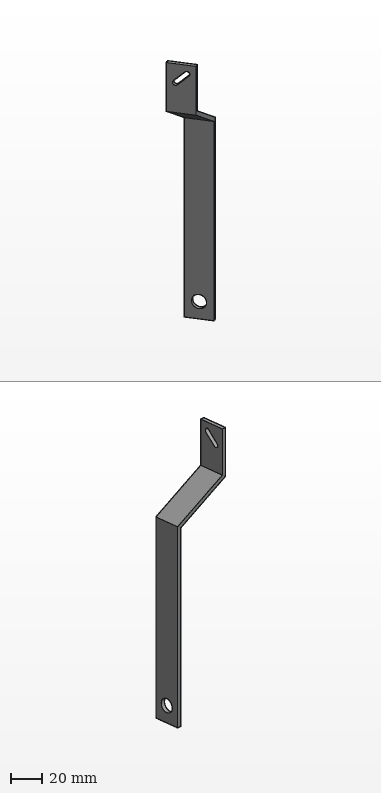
import cadquery as cq
import math

width = 20.0
depth = 43.0
height = 200.0
thickness = 3.0

slope_angle = 30.0
front_bend_z = 165.2

hole_diameter = 10.0
hole_z = 12.5

slot_length = 14.2
slot_width = 3.5
slot_angle = 43.0
slot_z = 190.0

slope = math.tan(math.radians(slope_angle))
ramp_rise = thickness / math.cos(math.radians(slope_angle))
corner_shift = ramp_rise - thickness * slope

front_inner_z = front_bend_z + corner_shift
back_inner_z = front_bend_z - (depth - thickness) * slope
back_outer_z = back_inner_z + corner_shift


def bent_strip():
    """Strip of constant thickness with two opposite sharp bends."""
    profile = [
        (depth, 0),
        (depth, back_outer_z),
        (thickness, front_inner_z),
        (thickness, height),
        (0, height),
        (0, front_bend_z),
        (depth - thickness, back_inner_z),
        (depth - thickness, 0),
    ]
    return cq.Workplane("YZ").polyline(profile).close().extrude(width / 2, both=True)


def hole_cutter():
    """Round hole through the long leg."""
    return cq.Workplane("XZ").center(0, hole_z).circle(hole_diameter / 2).extrude(-depth)


def slot_cutter():
    """Slanted slot through the short leg."""
    return cq.Workplane("XZ").center(0, slot_z).slot2D(slot_length, slot_width, slot_angle).extrude(-thickness)


result = bent_strip().cut(hole_cutter()).cut(slot_cutter())